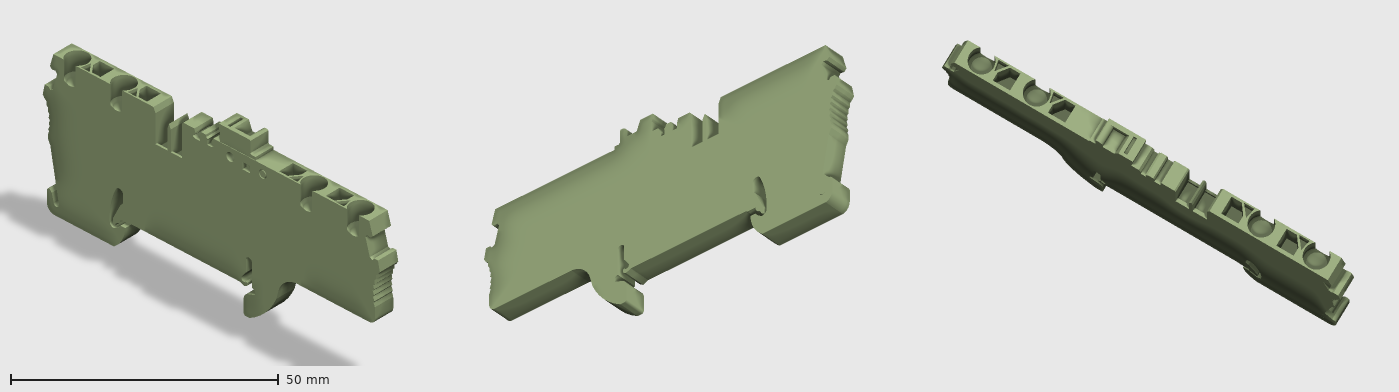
import cadquery as cq
import math

LENGTH = 86.74
THICKNESS = 5.0
HEIGHT = 40.05
TOP_Z = 36.1

GRIP_TOP_Z = 25.1
GRIP_TOP_X = 0.45
GRIP_DEEP_Z = 20.4
GRIP_DEEP_X = 1.55
GRIP_RIDGES = 6
GRIP_PITCH = 1.3
GRIP_NOTCH_DROP = 0.4
GRIP_NOTCH_DEPTH = 0.3

RAIL_Z = 7.05
SHELF_Z = 13.35

WEB_THICKNESS = 1.0

TERMINAL_X = 6.92
TERMINAL_PITCH = 12.0
WIRE_RADIUS = 2.6
WIRE_FLOOR_RADIUS = 1.95
WIRE_Y = 2.12
WIRE_CONE_TOP_Z = 31.4
WIRE_FLOOR_Z = 30.7
RELEASE_SIDE = 3.75
RELEASE_OFFSET = 5.6
CAVITY_FRONT_Y = 0.5
RELEASE_CUT_X = 1.5
RELEASE_CUT_Y = 2.0
RELEASE_DEPTH = 8.0
PROBE_CORNERS = [(2.6, 0.3), (4.85, 0.3), (3.05, 2.6)]
PROBE_DEPTH = 3.0
TERMINALS_PER_END = 2

BAY_LEFT = 29.0
BAY_RIGHT = 35.85
BAY_FLOOR_Z = 27.95
BAY_CHANNEL_DEPTH = 1.0
BLADE_LEFT = 32.15
BLADE_RIGHT = 32.95
BLADE_SHOULDER_Z = 33.1
BLADE_TIP_Z = 34.1
BLADE_TIP_X = 32.45

GROOVE_FLOOR_Z = 33.95
FIRST_GROOVE_LEFT = 39.2
SECOND_GROOVE_RIGHT = 43.45
UNDERCUT_REACH = 0.6
UNDERCUT_TIP_Z = 34.3
UNDERCUT_DEPTH = 4.5

BLOCK_SETBACK = 0.1
BLOCK_WALL_BACK_Y = 1.05
BLOCK_FLOOR_Z = 37.8
RIB_LEFT = 51.75
RIB_RADIUS = 0.9
BLOCK_SLOT_X = 47.15
BLOCK_SLOT_WIDTH = 0.75
BLOCK_SLOT_FRONT_Y = 0.75
BLOCK_SLOT_BACK_Y = 4.4
BLOCK_SLOT_DEPTH = 1.0

ROUND_ROW_Z = 33.95
TEST_HOLE_X = 48.25
TEST_HOLE_DIAMETER = 2.1
TEST_HOLE_DEPTH = 2.0
RING_X = 56.6
RING_OUTER_DIAMETER = 2.0
RING_INNER_DIAMETER = 1.5
RING_DEPTH = 0.3
WINDOW_LEFT = 51.35
WINDOW_RIGHT = 53.35
WINDOW_BOTTOM_Z = 32.65
WINDOW_TOP_Z = 34.3
WINDOW_DEPTH = 2.0
LATCH_LEFT = 52.2
LATCH_BOTTOM_Z = 33.4
LATCH_RECESS = 0.3


def plate(outline, front=0.0, back=THICKNESS):
    """Extrude a closed XZ outline between two Y planes."""
    return outline.close().extrude(-(back - front)).translate((0, front, 0))


def profile(points):
    """Open XZ polyline."""
    return cq.Workplane("XZ").polyline(points)


def box(x0, x1, y0, y1, z0, z1):
    """Box given by its limits on each axis."""
    return cq.Workplane("XY").box(x1 - x0, y1 - y0, z1 - z0, centered=False).translate((x0, y0, z0))


def mirrored(points):
    """The same points mirrored about mid-length, in reverse order."""
    return [(LENGTH - x, z) for x, z in reversed(points)]


def grip_points():
    """Ridges and notches of the -X finger grip, from bottom to top."""
    rise = GRIP_TOP_Z - GRIP_DEEP_Z
    depth = GRIP_DEEP_X - GRIP_TOP_X
    radius = (rise**2 + depth**2) / (2 * depth)

    def arc_x(z):
        return GRIP_DEEP_X - radius + math.sqrt(radius**2 - (z - GRIP_DEEP_Z) ** 2)

    points = []
    for i in range(GRIP_RIDGES):
        ridge_z = GRIP_TOP_Z - i * GRIP_PITCH
        notch_z = ridge_z - GRIP_NOTCH_DROP
        points.append((arc_x(ridge_z), ridge_z))
        points.append((arc_x(notch_z) + GRIP_NOTCH_DEPTH, notch_z))
    points.reverse()
    return points


def end_points():
    """-X end from the foot of the grip up to the top corner."""
    marker_notch = [
        (0.0, 25.8), (0.5, 28.2), (1.5, 28.2), (1.9, 27.65), (2.6, 28.0),
        (3.7, 32.0), (3.3, 32.6), (2.4, 32.45), (1.85, 33.0),
    ]
    return [(1.3, 17.3)] + grip_points() + marker_notch + [(2.75, TOP_Z)]


def top_points():
    """Upper edge between the two ends: bay and snap grooves."""
    bay = [(28.5, TOP_Z), (BAY_LEFT, 34.9), (BAY_LEFT, BAY_FLOOR_Z),
           (BAY_RIGHT, BAY_FLOOR_Z), (BAY_RIGHT, 35.8), (36.15, TOP_Z)]
    first_groove = [(39.0, TOP_Z), (FIRST_GROOVE_LEFT, 35.3), (FIRST_GROOVE_LEFT, GROOVE_FLOOR_Z),
                    (40.5, GROOVE_FLOOR_Z), (40.5, 35.5), (40.75, TOP_Z)]
    second_groove = [(42.0, TOP_Z), (42.05, 35.6), (42.45, 35.3), (42.3, 34.9), (42.3, GROOVE_FLOOR_Z),
                     (SECOND_GROOVE_RIGHT, GROOVE_FLOOR_Z), (SECOND_GROOVE_RIGHT, 35.3), (43.9, TOP_Z)]
    return bay + first_groove + second_groove


def make_body():
    left_end = end_points()
    upper = left_end + top_points() + mirrored(left_end)
    outline = (
        profile(upper)
        .lineTo(85.45, 16.5)
        .lineTo(85.45, 14.7)
        .threePointArc((85.05, 13.75), (84.1, SHELF_Z))
        .lineTo(65.2, SHELF_Z)
        .threePointArc((62.2, 12.05), (60.6, 9.4))
        .lineTo(60.1, 7.5)
        .threePointArc((57.5, 3.35), (53.2, 0))
        .lineTo(52.2, 0)
        .threePointArc((51.85, 0.15), (51.7, 0.5))
        .lineTo(51.7, 3.9)
        .threePointArc((52.05, 4.7), (52.8, 5.2))
        .lineTo(54.5, 5.75)
        .threePointArc((54.65, 6.5), (53.85, 7.1))
        .lineTo(53.85, 12.7)
        .threePointArc((53.05, 13.5), (52.25, 12.7))
        .lineTo(52.25, 9.8)
        .lineTo(51.35, 8.6)
        .threePointArc((51.1, 8.05), (51.4, 7.55))
        .lineTo(52.1, 7.5)
        .lineTo(52.25, 7.85)
        .lineTo(52.6, 7.6)
        .lineTo(52.6, 7.0)
        .lineTo(51.85, 6.55)
        .lineTo(50.6, RAIL_Z)
        .lineTo(22.4, RAIL_Z)
        .lineTo(22.0, 6.8)
        .lineTo(20.0, 6.8)
        .lineTo(19.8, 6.0)
        .lineTo(18.85, 5.5)
        .lineTo(18.45, 4.7)
        .lineTo(18.1, 4.7)
        .lineTo(18.05, 6.2)
        .lineTo(20.0, 10.1)
        .lineTo(20.7, 10.7)
        .lineTo(20.7, 12.8)
        .threePointArc((19.8, 13.65), (18.85, 13.2))
        .threePointArc((17.5, 9.2), (17.25, 5.0))
        .threePointArc((17.95, 4.2), (18.85, 4.4))
        .lineTo(19.75, 5.0)
        .lineTo(20.0, 5.45)
        .lineTo(21.2, 5.45)
        .threePointArc((20.3, 2.2), (18.3, 0))
        .lineTo(2.7, 0)
        .threePointArc((1.5, 0.75), (1.05, 2.0))
        .lineTo(1.05, 4.8)
        .threePointArc((1.3, 5.2), (1.8, 5.35))
        .lineTo(2.3, 4.7)
        .lineTo(2.8, 2.8)
        .threePointArc((3.35, 2.1), (4.2, 2.7))
        .lineTo(1.95, 15.2)
        .lineTo(1.3, 16.5)
    )
    return plate(outline)


def make_slot_web():
    """Thin web across the spring-foot slot, on the +Y side."""
    outline = profile([(1.8, 5.35), (3.4, 6.9), (4.2, 2.7), (3.4, 2.0), (2.7, 2.6)])
    return plate(outline, THICKNESS - WEB_THICKNESS, THICKNESS)


def make_terminal(axis_x, inward):
    """Cavities of one terminal; inward is +1 or -1, pointing at the middle."""
    wire = (
        cq.Workplane("XZ")
        .moveTo(0, WIRE_FLOOR_Z)
        .lineTo(WIRE_FLOOR_RADIUS, WIRE_FLOOR_Z)
        .lineTo(WIRE_RADIUS, WIRE_CONE_TOP_Z)
        .lineTo(WIRE_RADIUS, HEIGHT)
        .lineTo(0, HEIGHT)
        .close()
        .revolve(360, (0, 0, 0), (0, 1, 0))
        .translate((axis_x, WIRE_Y, 0))
    )

    def cavity(points, depth):
        placed = [(axis_x + inward * x, y) for x, y in points]
        return cq.Workplane("XY", origin=(0, 0, TOP_Z - depth)).polyline(placed).close().extrude(depth)

    near = RELEASE_OFFSET - RELEASE_SIDE / 2
    far = RELEASE_OFFSET + RELEASE_SIDE / 2
    back_y = CAVITY_FRONT_Y + RELEASE_SIDE
    cut_corner = [(near + RELEASE_CUT_X, CAVITY_FRONT_Y), (far, CAVITY_FRONT_Y),
                  (far, back_y), (near, back_y), (near, CAVITY_FRONT_Y + RELEASE_CUT_Y)]
    return wire.union(cavity(cut_corner, RELEASE_DEPTH)).union(cavity(PROBE_CORNERS, PROBE_DEPTH))


def make_blade():
    outline = profile([
        (BLADE_LEFT, BAY_FLOOR_Z - BAY_CHANNEL_DEPTH),
        (BLADE_RIGHT, BAY_FLOOR_Z - BAY_CHANNEL_DEPTH),
        (BLADE_RIGHT, BLADE_SHOULDER_Z),
        (BLADE_TIP_X, BLADE_TIP_Z),
        (BLADE_LEFT, BLADE_SHOULDER_Z),
    ])
    return plate(outline)


def make_bay_channel():
    return box(BAY_LEFT, BAY_RIGHT, CAVITY_FRONT_Y, CAVITY_FRONT_Y + RELEASE_SIDE,
               BAY_FLOOR_Z - BAY_CHANNEL_DEPTH, BAY_FLOOR_Z)


def make_groove_undercuts():
    """Triangular pockets beside the outer walls of the snap grooves."""
    left = profile([
        (FIRST_GROOVE_LEFT, 34.95),
        (FIRST_GROOVE_LEFT - UNDERCUT_REACH, UNDERCUT_TIP_Z),
        (FIRST_GROOVE_LEFT, GROOVE_FLOOR_Z),
    ])
    right = profile([
        (SECOND_GROOVE_RIGHT, 35.1),
        (SECOND_GROOVE_RIGHT + UNDERCUT_REACH, UNDERCUT_TIP_Z),
        (SECOND_GROOVE_RIGHT, GROOVE_FLOOR_Z),
    ])
    return plate(left, 0, UNDERCUT_DEPTH).union(plate(right, 0, UNDERCUT_DEPTH))


def make_block():
    outline = profile([
        (45.5, TOP_Z), (45.5, 38.4), (45.2, 38.8), (45.2, HEIGHT), (53.1, HEIGHT), (53.3, 39.85),
        (53.3, 37.1), (53.65, 36.85), (54.65, 36.85), (54.65, TOP_Z),
    ])
    block = plate(outline, BLOCK_SETBACK, THICKNESS)
    arc_inset = RIB_RADIUS * (1 - math.sqrt(0.5))
    recess = (
        profile([(48.3, HEIGHT), (49.2, BLOCK_FLOOR_Z), (RIB_LEFT, BLOCK_FLOOR_Z),
                 (RIB_LEFT, HEIGHT - RIB_RADIUS)])
        .threePointArc((RIB_LEFT + arc_inset, HEIGHT - arc_inset), (RIB_LEFT + RIB_RADIUS, HEIGHT))
    )
    slot = box(BLOCK_SLOT_X - BLOCK_SLOT_WIDTH / 2, BLOCK_SLOT_X + BLOCK_SLOT_WIDTH / 2,
               BLOCK_SLOT_FRONT_Y, BLOCK_SLOT_BACK_Y, HEIGHT - BLOCK_SLOT_DEPTH, HEIGHT)
    return block.cut(plate(recess, BLOCK_WALL_BACK_Y, THICKNESS)).cut(slot)


def make_front_openings():
    hole = (
        cq.Workplane("XZ")
        .center(TEST_HOLE_X, ROUND_ROW_Z)
        .circle(TEST_HOLE_DIAMETER / 2)
        .extrude(-TEST_HOLE_DEPTH)
    )
    ring = (
        cq.Workplane("XZ")
        .center(RING_X, ROUND_ROW_Z)
        .circle(RING_OUTER_DIAMETER / 2)
        .circle(RING_INNER_DIAMETER / 2)
        .extrude(-RING_DEPTH)
    )
    window = box(WINDOW_LEFT, WINDOW_RIGHT, 0, WINDOW_DEPTH, WINDOW_BOTTOM_Z, WINDOW_TOP_Z)
    latch = box(LATCH_LEFT, WINDOW_RIGHT, LATCH_RECESS, WINDOW_DEPTH, LATCH_BOTTOM_Z, WINDOW_TOP_Z)
    return hole.union(ring).union(window.cut(latch))


result = make_body().union(make_slot_web())
for i in range(TERMINALS_PER_END):
    terminal_x = TERMINAL_X + i * TERMINAL_PITCH
    result = result.cut(make_terminal(terminal_x, 1))
    result = result.cut(make_terminal(LENGTH - terminal_x, -1))
result = result.cut(make_bay_channel()).union(make_blade())
result = result.cut(make_groove_undercuts())
result = result.union(make_block())
result = result.cut(make_front_openings())